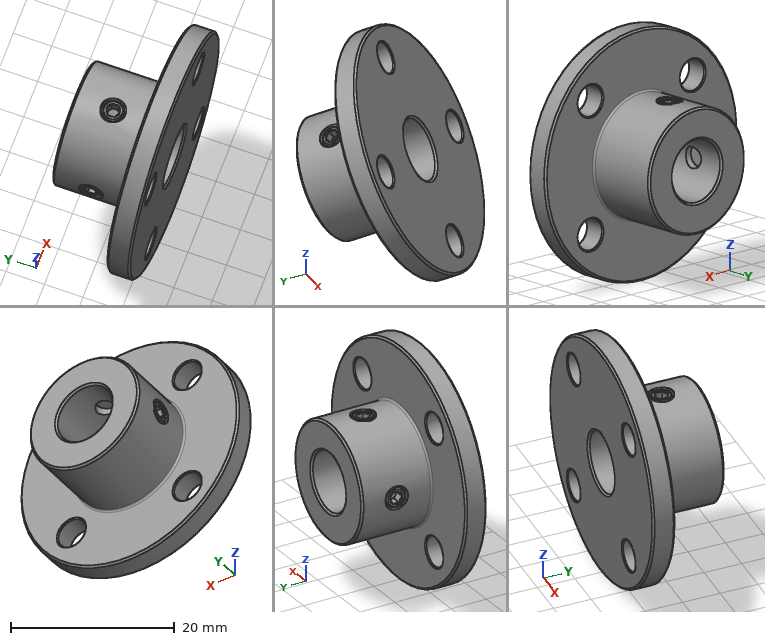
import cadquery as cq
import math

flange_diameter = 32.0
flange_thickness = 3.0
hub_diameter = 16.0
total_length = 13.0
bore_diameter = 8.0
edge_chamfer = 0.25
root_fillet = 0.25

mount_hole_count = 4
mount_hole_diameter = 4.0
mount_circle_diameter = 24.0
mount_hole_chamfer = 0.15
first_mount_angle = 45.0

screw_diameter = 2.75
screw_face_diameter = 2.35
screw_chamfer_slope = 30.0
screw_length = 3.0
screw_recess = 0.15
screw_hole_mouth_diameter = 3.2
socket_sides = 6
socket_across_flats = 1.5
socket_depth = 1.28
socket_point_angle = 120.0
screw_angles = (0, -90)

flange_radius = flange_diameter / 2
hub_radius = hub_diameter / 2
bore_radius = bore_diameter / 2
screw_radius = screw_diameter / 2
screw_y = (flange_thickness + total_length) / 2
screw_top = hub_radius - screw_recess


def turned_about_y(body, angle):
    return body.rotate((0, 0, 0), (0, 1, 0), angle)


def make_turned_blank():
    """Flange, hub and bore as one revolved profile (radius along X, length along Y)."""
    c = edge_chamfer
    fillet_middle = root_fillet * (1 - math.sqrt(0.5))
    return (
        cq.Workplane("XY")
        .moveTo(bore_radius + c, 0)
        .lineTo(flange_radius - c, 0)
        .lineTo(flange_radius, c)
        .lineTo(flange_radius, flange_thickness - c)
        .lineTo(flange_radius - c, flange_thickness)
        .lineTo(hub_radius + root_fillet, flange_thickness)
        .threePointArc(
            (hub_radius + fillet_middle, flange_thickness + fillet_middle),
            (hub_radius, flange_thickness + root_fillet),
        )
        .lineTo(hub_radius, total_length - c)
        .lineTo(hub_radius - c, total_length)
        .lineTo(bore_radius + c, total_length)
        .lineTo(bore_radius, total_length - c)
        .lineTo(bore_radius, c)
        .close()
        .revolve(360, (0, 0, 0), (0, 1, 0))
    )


def make_mount_hole():
    """Cutter for one through hole with a chamfer at both ends, on the Y axis."""
    radius = mount_hole_diameter / 2
    mouth_radius = radius + mount_hole_chamfer
    return (
        cq.Workplane("XY")
        .moveTo(0, 0)
        .lineTo(mouth_radius, 0)
        .lineTo(radius, mount_hole_chamfer)
        .lineTo(radius, flange_thickness - mount_hole_chamfer)
        .lineTo(mouth_radius, flange_thickness)
        .lineTo(0, flange_thickness)
        .close()
        .revolve(360, (0, 0, 0), (0, 1, 0))
    )


def make_screw_hole():
    """Cutter for one radial hole towards +Z, from the bore to a countersink and its round mouth."""
    mouth_radius = screw_hole_mouth_diameter / 2
    mouth_floor = math.sqrt(hub_radius**2 - mouth_radius**2)
    countersink_depth = mouth_radius - screw_radius
    return (
        cq.Workplane("XZ", origin=(0, screw_y, 0))
        .lineTo(screw_radius, 0)
        .lineTo(screw_radius, mouth_floor - countersink_depth)
        .lineTo(mouth_radius, mouth_floor)
        .lineTo(mouth_radius, hub_radius)
        .lineTo(0, hub_radius)
        .close()
        .revolve(360, (0, 0, 0), (0, 1, 0))
    )


def make_hub():
    hub = make_turned_blank()
    for index in range(mount_hole_count):
        hole = make_mount_hole().translate((mount_circle_diameter / 2, 0, 0))
        angle = first_mount_angle + index * 360 / mount_hole_count
        hub = hub.cut(turned_about_y(hole, angle))
    for angle in screw_angles:
        hub = hub.cut(turned_about_y(make_screw_hole(), angle))
    return hub


def make_socket():
    """Cutter for the hexagon socket, with a chamfered mouth and a conical floor."""
    socket_floor = screw_top - socket_depth
    hexagon = (
        cq.Workplane("XY", origin=(0, screw_y, socket_floor))
        .polygon(socket_sides, socket_across_flats, circumscribed=True)
        .extrude(socket_depth)
    )
    flat_radius = socket_across_flats / 2
    corner_radius = flat_radius / math.cos(math.pi / socket_sides)
    point_depth = flat_radius / math.tan(math.radians(socket_point_angle / 2))
    mouth_depth = corner_radius - flat_radius
    round_core = (
        cq.Workplane("XZ", origin=(0, screw_y, 0))
        .moveTo(0, socket_floor - point_depth)
        .lineTo(flat_radius, socket_floor)
        .lineTo(flat_radius, screw_top - mouth_depth)
        .lineTo(corner_radius, screw_top)
        .lineTo(0, screw_top)
        .close()
        .revolve(360, (0, 0, 0), (0, 1, 0))
    )
    return hexagon.union(round_core)


def make_set_screw():
    """Set screw towards +Z with a chamfered outer end and a socket in it."""
    chamfer_width = (screw_diameter - screw_face_diameter) / 2
    chamfer_height = chamfer_width * math.tan(math.radians(screw_chamfer_slope))
    return (
        cq.Workplane("XY", origin=(0, screw_y, screw_top - screw_length))
        .circle(screw_radius)
        .extrude(screw_length)
        .faces(">Z")
        .chamfer(chamfer_height, chamfer_width)
        .cut(make_socket())
    )


hub = make_hub()
set_screws = [turned_about_y(make_set_screw(), angle) for angle in screw_angles]

result = cq.Compound.makeCompound([hub.val(), *[screw.val() for screw in set_screws]])